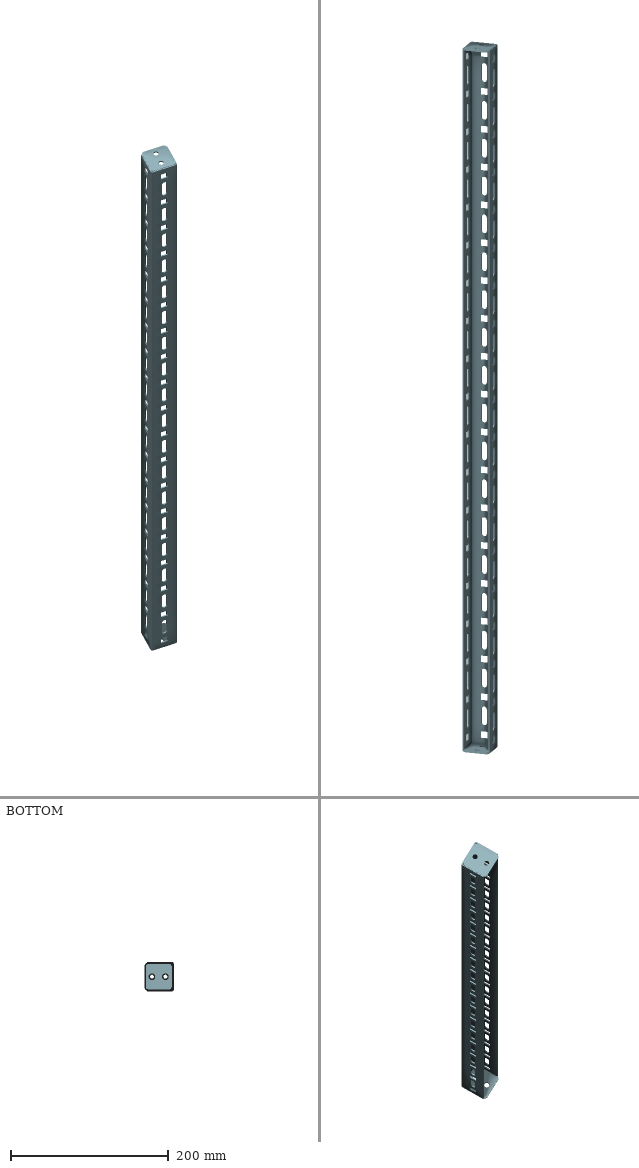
import cadquery as cq

LENGTH = 929.0
WIDTH = 36.0
WALL = 1.5
BEND_RADIUS = 2.5
LIP = 3.0

PITCH = 50.0
HOLE_COUNT = 19
HOLE_SIZE = 9.0
SLOT_LENGTH = 25.0
SLOT_WIDTH = 7.0
SIDE_HOLE_INSET = 17.5

PLATE_THICKNESS = 2.0
PLATE_PROUD = 0.5
PLATE_OVERLAP = 0.5
PLATE_CORNER_RADIUS = 4.0
PLATE_HOLE_DIAMETER = 6.5
PLATE_HOLE_SPACING = 17.0

BACK_X = WIDTH / 2
SIDE_Y = WIDTH / 2
CHANNEL_DEPTH = WIDTH - LIP
CHANNEL_LENGTH = LENGTH - 2 * PLATE_PROUD
INNER_WIDTH = WIDTH - 2 * WALL
PLATE_DEPTH = WIDTH - WALL
PLATE_WIDTH = INNER_WIDTH + 2 * PLATE_OVERLAP


def block(back_x, size_x, size_y, bottom_z, size_z):
    """Box centred on Y whose +X face lies at back_x."""
    return (
        cq.Workplane("XY", origin=(back_x - size_x / 2, 0, bottom_z))
        .rect(size_x, size_y)
        .extrude(size_z)
    )


def channel():
    outer = block(BACK_X, CHANNEL_DEPTH, WIDTH, PLATE_PROUD, CHANNEL_LENGTH)
    outer = outer.edges("|Z and >X").fillet(BEND_RADIUS)
    inner = block(BACK_X - WALL, CHANNEL_DEPTH, INNER_WIDTH, PLATE_PROUD, CHANNEL_LENGTH)
    inner = inner.edges("|Z and >X").fillet(BEND_RADIUS - WALL)
    return outer.cut(inner)


def perforation(plane, origin, depth):
    """Cutter of square holes alternating with round-ended slots along Z."""
    hole_span = (HOLE_COUNT - 1) * PITCH
    first_z = (LENGTH - hole_span) / 2
    hole_points = [(0, first_z + i * PITCH) for i in range(HOLE_COUNT)]
    slot_points = [(0, z + PITCH / 2) for _, z in hole_points[:-1]]
    base = cq.Workplane(plane, origin=origin)
    holes = base.pushPoints(hole_points).rect(HOLE_SIZE, HOLE_SIZE).extrude(depth)
    slots = base.pushPoints(slot_points).slot2D(SLOT_LENGTH, SLOT_WIDTH, 90).extrude(depth)
    return holes.add(slots).combine()


def end_plate(bottom_z):
    """Round-cornered plate with two holes in a row along X."""
    plate = block(BACK_X - WALL, PLATE_DEPTH, PLATE_WIDTH, bottom_z, PLATE_THICKNESS)
    return (
        plate.edges("|Z")
        .fillet(PLATE_CORNER_RADIUS)
        .faces(">Z")
        .workplane(centerOption="CenterOfMass")
        .rarray(PLATE_HOLE_SPACING, 1, 2, 1)
        .hole(PLATE_HOLE_DIAMETER)
    )


side_cut = perforation("XZ", (BACK_X - SIDE_HOLE_INSET, SIDE_Y, 0), WIDTH)
back_cut = perforation("YZ", (BACK_X - WALL, 0, 0), WALL)

result = (
    channel()
    .cut(side_cut)
    .cut(back_cut)
    .union(end_plate(0))
    .union(end_plate(LENGTH - PLATE_THICKNESS))
)